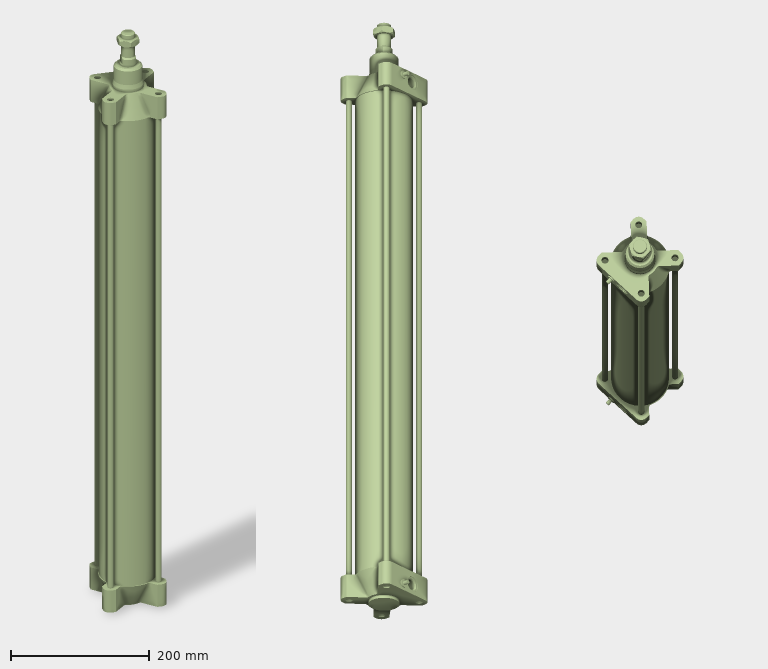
import cadquery as cq
import math

TOTAL_LENGTH = 918.0
SPIGOT_HEIGHT = 5.0
HEAD_HEIGHT = 36.0
FRONT_HEAD_TOP = 832.0
REAR_HEAD_BOTTOM = SPIGOT_HEIGHT
FRONT_HEAD_BOTTOM = FRONT_HEAD_TOP - HEAD_HEIGHT
REAR_HEAD_TOP = REAR_HEAD_BOTTOM + HEAD_HEIGHT

HEAD_WIDTH = 95.0
HEAD_CORNER_RADIUS = 10.0
ARM_WIDTH = 23.0
POCKET_CONE_WIDE_DIAMETER = 86.0
POCKET_CONE_NARROW_DIAMETER = 54.0
POCKET_FILLET = 4.0
POCKET_ANGLES = (0, 90, 270)

TUBE_DIAMETER = 83.5
TIE_ROD_DIAMETER = 8.9
TIE_ROD_SPACING = 72.0
CORNER_HOLE_DIAMETER = 10.0
CORNER_HOLE_DEPTH = 15.0

PORT_FACE_X = -HEAD_WIDTH / 2
PORT_Y = -8.0
PORT_INSET = 16.0
PORT_SEAT_DIAMETER = 23.0
PORT_SEAT_DEPTH = 1.0
PORT_MOUTH_DIAMETER = 18.0
PORT_BORE_DIAMETER = 15.0
PORT_DEPTH = 12.0
SCREW_Y = 12.0
SCREW_INSET = 10.0
SCREW_BASE_DIAMETER = 12.0
SCREW_BASE_HEIGHT = 2.0
SCREW_PIN_DIAMETER = 6.0
SCREW_REACH = 9.0

SPIGOT_DIAMETER = 45.0
GLAND_DIAMETER = 41.0
GLAND_CONE_TOP = 843.0
GLAND_TOP = 867.5
GLAND_CHAMFER = 3.0

ROD_DIAMETER = 25.0
ROD_FLATS_WIDTH = 20.0
ROD_FLATS_BOTTOM = 870.0
ROD_SHOULDER = 881.0
THREAD_DIAMETER = 20.0
THREAD_CHAMFER = 1.0
NUT_SIDES = 6
NUT_ACROSS_FLATS = 29.0
NUT_BOTTOM = 901.0
NUT_HEIGHT = 10.0
NUT_CHAMFER_DIAMETER = 29.0
NUT_CHAMFER_ANGLE = 45.0


def cylinder(diameter, bottom, top):
    return cq.Workplane("XY").workplane(offset=bottom).circle(diameter / 2).extrude(top - bottom)


def cone(bottom_diameter, top_diameter, bottom, top):
    solid = cq.Solid.makeCone(bottom_diameter / 2, top_diameter / 2, top - bottom, cq.Vector(0, 0, bottom))
    return cq.Workplane(obj=solid)


def side_cylinder(diameter, y, z, x_start, x_end):
    """Cylinder along X between two X positions."""
    solid = cq.Solid.makeCylinder(
        diameter / 2, x_end - x_start, cq.Vector(x_start, y, z), cq.Vector(1, 0, 0)
    )
    return cq.Workplane(obj=solid)


def pocket():
    """Cutter for the +X pocket of a head whose outer face is at the top: a wedge around a cone."""
    apex = ARM_WIDTH / 2 * math.sqrt(2)
    reach = HEAD_WIDTH
    wedge = (
        cq.Workplane("XY")
        .polyline([(apex, 0), (apex + reach, -reach), (apex + reach, reach)])
        .close()
        .extrude(HEAD_HEIGHT)
    )
    core = cone(POCKET_CONE_WIDE_DIAMETER, POCKET_CONE_NARROW_DIAMETER, 0, HEAD_HEIGHT)
    return wedge.cut(core).edges("%HYPERBOLA").fillet(POCKET_FILLET)


def port():
    """Cutter for the air port of a head: shallow seat, coned mouth and bore."""
    seat_x = PORT_FACE_X + PORT_SEAT_DEPTH
    port_z = HEAD_HEIGHT - PORT_INSET
    mouth = cq.Solid.makeCone(
        PORT_MOUTH_DIAMETER / 2,
        PORT_BORE_DIAMETER / 2,
        (PORT_MOUTH_DIAMETER - PORT_BORE_DIAMETER) / 2,
        cq.Vector(seat_x, PORT_Y, port_z),
        cq.Vector(1, 0, 0),
    )
    seat = side_cylinder(PORT_SEAT_DIAMETER, PORT_Y, port_z, PORT_FACE_X, seat_x)
    bore = side_cylinder(PORT_BORE_DIAMETER, PORT_Y, port_z, seat_x, PORT_FACE_X + PORT_DEPTH)
    return seat.union(bore).union(cq.Workplane(obj=mouth))


def cushion_screw():
    """Round base and pin standing out of the port face of a head."""
    screw_z = HEAD_HEIGHT - SCREW_INSET
    base_x = PORT_FACE_X - SCREW_BASE_HEIGHT
    base = side_cylinder(SCREW_BASE_DIAMETER, SCREW_Y, screw_z, base_x, PORT_FACE_X)
    pin = side_cylinder(SCREW_PIN_DIAMETER, SCREW_Y, screw_z, PORT_FACE_X - SCREW_REACH, base_x)
    return base.union(pin)


def head():
    """Head with its inner face at Z = 0 and its outer face at the top."""
    body = (
        cq.Workplane("XY")
        .rect(HEAD_WIDTH, HEAD_WIDTH)
        .extrude(HEAD_HEIGHT)
        .edges("|Z")
        .fillet(HEAD_CORNER_RADIUS)
    )
    cutter = pocket()
    for angle in POCKET_ANGLES:
        body = body.cut(cutter.rotate((0, 0, 0), (0, 0, 1), angle))

    corner_holes = (
        cq.Workplane("XY")
        .workplane(offset=HEAD_HEIGHT - CORNER_HOLE_DEPTH)
        .rect(TIE_ROD_SPACING, TIE_ROD_SPACING, forConstruction=True)
        .vertices()
        .circle(CORNER_HOLE_DIAMETER / 2)
        .extrude(CORNER_HOLE_DEPTH)
    )
    return body.cut(corner_holes).cut(port()).union(cushion_screw())


def make_housing():
    """Both heads, tube, tie rods and gland as one body, bored for the rod."""
    front_head = head().translate((0, 0, FRONT_HEAD_BOTTOM))
    rear_head = head().mirror("XY").translate((0, 0, REAR_HEAD_TOP))
    tube = cylinder(TUBE_DIAMETER, REAR_HEAD_TOP, FRONT_HEAD_BOTTOM)
    tie_rods = (
        cq.Workplane("XY")
        .workplane(offset=REAR_HEAD_TOP)
        .rect(TIE_ROD_SPACING, TIE_ROD_SPACING, forConstruction=True)
        .vertices()
        .circle(TIE_ROD_DIAMETER / 2)
        .extrude(FRONT_HEAD_BOTTOM - REAR_HEAD_TOP)
    )

    front_spigot_top = FRONT_HEAD_TOP + SPIGOT_HEIGHT
    front_spigot = cylinder(SPIGOT_DIAMETER, FRONT_HEAD_TOP, front_spigot_top)
    gland_cone = cone(SPIGOT_DIAMETER, GLAND_DIAMETER, front_spigot_top, GLAND_CONE_TOP)
    gland = cylinder(GLAND_DIAMETER, GLAND_CONE_TOP, GLAND_TOP).faces(">Z").chamfer(GLAND_CHAMFER)
    rear_spigot = cylinder(SPIGOT_DIAMETER, 0, REAR_HEAD_BOTTOM)

    housing = tube
    for piece in (front_head, rear_head, tie_rods, front_spigot, gland_cone, gland, rear_spigot):
        housing = housing.union(piece)
    return housing.cut(cylinder(ROD_DIAMETER, FRONT_HEAD_BOTTOM, GLAND_TOP))


def make_piston_rod():
    """Rod with two wrench flats, a coned shoulder and a thinner threaded end."""
    shoulder_chamfer = (ROD_DIAMETER - THREAD_DIAMETER) / 2
    shank = cylinder(ROD_DIAMETER, FRONT_HEAD_BOTTOM, ROD_SHOULDER).faces(">Z").chamfer(shoulder_chamfer)
    flat_height = ROD_SHOULDER - ROD_FLATS_BOTTOM
    flat_center_y = (ROD_FLATS_WIDTH + ROD_DIAMETER) / 2
    for side in (-1, 1):
        flat = (
            cq.Workplane("XY")
            .workplane(offset=ROD_FLATS_BOTTOM)
            .center(0, side * flat_center_y)
            .rect(ROD_DIAMETER, ROD_DIAMETER)
            .extrude(flat_height)
        )
        shank = shank.cut(flat)
    thread = cylinder(THREAD_DIAMETER, ROD_SHOULDER, TOTAL_LENGTH).faces(">Z").chamfer(THREAD_CHAMFER)
    return shank.union(thread)


def make_nut():
    """Hexagon nut with corners along X, chamfered at both ends and bored for the thread."""
    across_corners = NUT_ACROSS_FLATS / math.cos(math.pi / NUT_SIDES)
    nut = cq.Workplane("XY").polygon(NUT_SIDES, across_corners).extrude(NUT_HEIGHT)
    corner_radius = across_corners / 2
    face_radius = NUT_CHAMFER_DIAMETER / 2
    drop = (corner_radius - face_radius) * math.tan(math.radians(NUT_CHAMFER_ANGLE))
    envelope = (
        cq.Workplane("XZ")
        .polyline(
            [
                (0, 0),
                (face_radius, 0),
                (corner_radius, drop),
                (corner_radius, NUT_HEIGHT - drop),
                (face_radius, NUT_HEIGHT),
                (0, NUT_HEIGHT),
            ]
        )
        .close()
        .revolve(axisStart=(0, 0), axisEnd=(0, 1))
    )
    nut = nut.intersect(envelope).translate((0, 0, NUT_BOTTOM))
    return nut.cut(cylinder(THREAD_DIAMETER, NUT_BOTTOM, NUT_BOTTOM + NUT_HEIGHT))


housing = make_housing()
piston_rod = make_piston_rod()
nut = make_nut()

result = cq.Compound.makeCompound([housing.val(), piston_rod.val(), nut.val()])